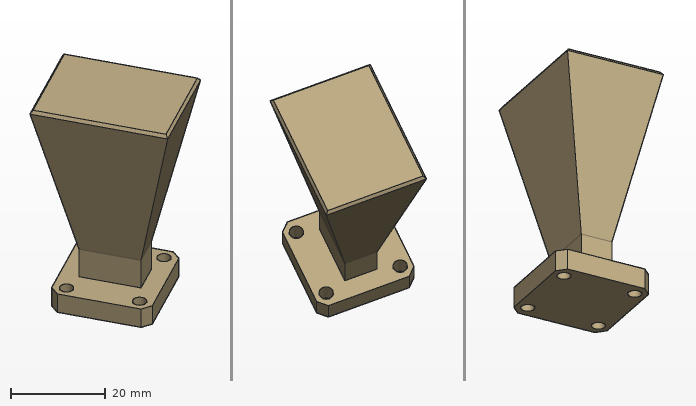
import cadquery as cq

total_height = 50.8
mouth_length = 30.65
mouth_width = 23.06

flange_side = 22.4
flange_thickness = 4.75
flange_corner_chamfer = 1.9
hole_diameter = 3.0
hole_pitch_x = 16.26
hole_pitch_y = 17.02

neck_length = 13.8
neck_width = 7.4
neck_height = 7.1

rim_height = 0.75
rim_inset = 0.55
horn_base_z = flange_thickness + neck_height
rim_base_z = total_height - rim_height


def make_flange():
    """Square plate with cut corners and four through holes."""
    plate = (
        cq.Workplane("XY")
        .rect(flange_side, flange_side)
        .extrude(flange_thickness)
        .edges("|Z")
        .chamfer(flange_corner_chamfer)
    )
    return (
        plate.faces(">Z")
        .workplane(origin=(0, 0, 0))
        .rect(hole_pitch_x, hole_pitch_y, forConstruction=True)
        .vertices()
        .hole(hole_diameter)
    )


def make_neck():
    """Rectangular block standing on the flange."""
    return (
        cq.Workplane("XY", origin=(0, 0, flange_thickness))
        .rect(neck_length, neck_width)
        .extrude(neck_height)
    )


def make_frustum(base_z, base_size, top_z, top_size):
    """Solid with flat sides joining two centred rectangles."""
    return (
        cq.Workplane("XY", origin=(0, 0, base_z))
        .rect(*base_size)
        .workplane(offset=top_z - base_z)
        .rect(*top_size)
        .loft(ruled=True)
    )


mouth_size = (mouth_length, mouth_width)
rim_top_size = (mouth_length - 2 * rim_inset, mouth_width - 2 * rim_inset)
horn = make_frustum(horn_base_z, (neck_length, neck_width), rim_base_z, mouth_size)
rim = make_frustum(rim_base_z, mouth_size, total_height, rim_top_size)

result = make_flange().union(make_neck()).union(horn).union(rim)